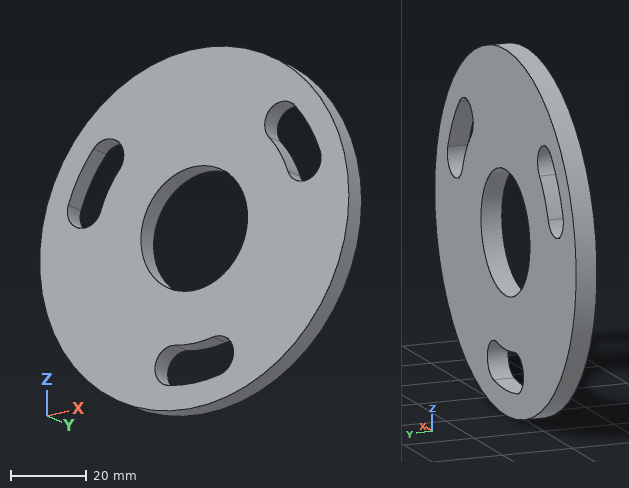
import cadquery as cq
import math

disc_diameter = 100.0
thickness = 6.0
back_centre = (0, thickness / 2, 0)

bore_diameter = 34.4

slot_count = 3
slot_pitch_radius = 37.5
slot_width = 11.0
slot_half_angle = 11.0
first_slot_angle = -90.0


def polar_point(radius, angle):
    """Point at a radius and an angle in degrees, measured from +X towards +Z."""
    turn = math.radians(angle)
    return (radius * math.cos(turn), radius * math.sin(turn))


def curved_slot(middle_angle):
    """Cutter for one slot that follows the pitch circle and has round ends."""
    inner_radius = slot_pitch_radius - slot_width / 2
    outer_radius = slot_pitch_radius + slot_width / 2
    start_angle = middle_angle - slot_half_angle
    end_angle = middle_angle + slot_half_angle
    return (
        cq.Workplane("XZ", origin=back_centre)
        .moveTo(*polar_point(outer_radius, start_angle))
        .threePointArc(polar_point(outer_radius, middle_angle), polar_point(outer_radius, end_angle))
        .tangentArcPoint(polar_point(inner_radius, end_angle), relative=False)
        .threePointArc(polar_point(inner_radius, middle_angle), polar_point(inner_radius, start_angle))
        .tangentArcPoint(polar_point(outer_radius, start_angle), relative=False)
        .close()
        .extrude(thickness)
    )


result = (
    cq.Workplane("XZ", origin=back_centre)
    .circle(disc_diameter / 2)
    .circle(bore_diameter / 2)
    .extrude(thickness)
)

for slot_index in range(slot_count):
    result = result.cut(curved_slot(first_slot_angle + slot_index * 360 / slot_count))